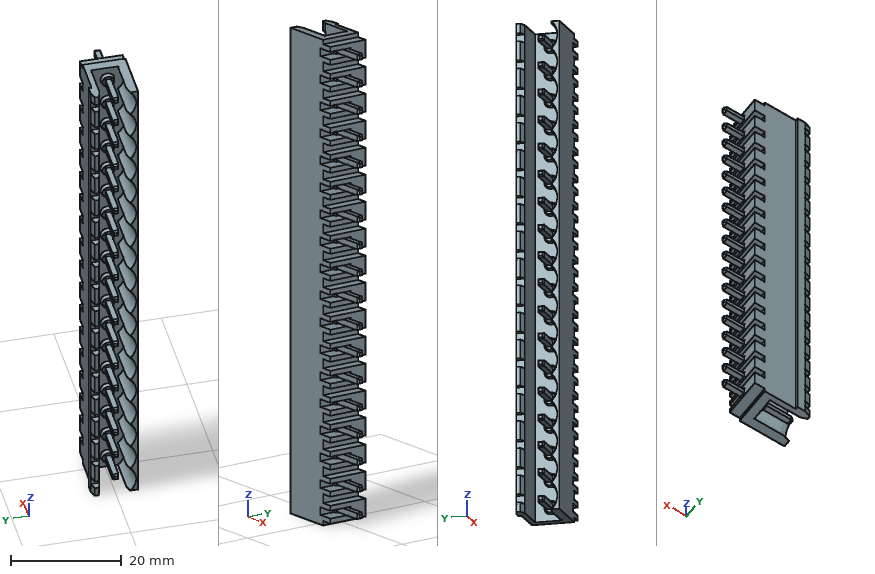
import cadquery as cq

POLE_COUNT = 18
LENGTH = 91.4
PITCH = LENGTH / POLE_COUNT
POLE_HEIGHTS = [(i + 0.5) * PITCH for i in range(POLE_COUNT)]

BODY_WIDTH = 8.0
BODY_DEPTH = 9.9
CAVITY_DEPTH = 8.0
LATCH_WALL_INNER_Y = 6.9
PIN_Y = 3.8
SCALLOP_RADIUS = 3.2
SCALLOP_MOUTH_RADIUS = 3.5
MOUTH_CHAMFER_DEPTH = 1.4

RAIL_OUTER_Y = 8.5
RAIL_DEPTH = 3.0
RAIL_CHAMFER = 0.5
RAIL_NOTCH_HEIGHT = 1.6

TOOTH_END_X = 12.1
TOOTH_HEIGHT = 3.4
SLOT_START_X = 9.05
SLOT_HEIGHT = 1.5

PIN_SIZE = 1.1
PIN_POINT_SIZE = 0.6
PIN_FRONT_X = 1.1
PIN_REAR_X = 16.2
PIN_POINT_LENGTH = 0.5
SHOULDER_END_X = 9.7
COLLAR_HEIGHT = 0.8
COLLAR_TIP_RADIUS = 1.1
COLLAR_BASE_RADIUS = 1.3


def block(x_range, y_range, z_range):
    """Box between the given limits on each axis."""
    size = [high - low for low, high in (x_range, y_range, z_range)]
    corner = (x_range[0], y_range[0], z_range[0])
    return cq.Workplane("XY").box(*size, centered=False).translate(corner)


def about_zero(size):
    """Limits of a size centred on zero."""
    return -size / 2, size / 2


def pin_axis_plane(x):
    """Plane across a pin axis, facing +X."""
    return cq.Workplane("YZ", origin=(x, PIN_Y, 0))


def frustum(x_start, x_end, radius_start, radius_end):
    """Cone section along a pin axis."""
    return (
        pin_axis_plane(x_start)
        .circle(radius_start)
        .workplane(offset=x_end - x_start)
        .circle(radius_end)
        .loft(ruled=True)
    )


def make_channel():
    """Solid bar with the latch rail, opened by a straight-sided cavity."""
    rail_tip_outer_y = RAIL_OUTER_Y - RAIL_CHAMFER
    rail_tip_inner_y = LATCH_WALL_INNER_Y + RAIL_CHAMFER
    profile = [
        (0, 0),
        (BODY_DEPTH, 0),
        (BODY_DEPTH, BODY_WIDTH),
        (RAIL_DEPTH, BODY_WIDTH),
        (RAIL_DEPTH, RAIL_OUTER_Y),
        (MOUTH_CHAMFER_DEPTH, RAIL_OUTER_Y),
        (0, rail_tip_outer_y),
        (0, rail_tip_inner_y),
        (MOUTH_CHAMFER_DEPTH, LATCH_WALL_INNER_Y),
        (CAVITY_DEPTH, LATCH_WALL_INNER_Y),
        (CAVITY_DEPTH, PIN_Y),
        (0, PIN_Y),
    ]
    return cq.Workplane("XY").polyline(profile).close().extrude(LENGTH)


def make_scallop():
    """Round hollow in the -Y wall around one pin, flared at the mouth."""
    bore = pin_axis_plane(0).circle(SCALLOP_RADIUS).extrude(CAVITY_DEPTH)
    flare = frustum(0, MOUTH_CHAMFER_DEPTH, SCALLOP_MOUTH_RADIUS, SCALLOP_RADIUS)
    wall_side = block((0, CAVITY_DEPTH), (0, PIN_Y), about_zero(2 * SCALLOP_MOUTH_RADIUS))
    return bore.union(flare).intersect(wall_side)


def make_rail_notch():
    return block(
        (0, MOUTH_CHAMFER_DEPTH),
        (LATCH_WALL_INNER_Y, RAIL_OUTER_Y),
        about_zero(RAIL_NOTCH_HEIGHT),
    )


def make_tooth():
    return block((BODY_DEPTH, TOOTH_END_X), (0, BODY_WIDTH), about_zero(TOOTH_HEIGHT))


def make_slot():
    """Slot reaching from the -Y face to the far side of the pin shoulder."""
    return block(
        (SLOT_START_X, TOOTH_END_X),
        (0, PIN_Y + SLOT_HEIGHT / 2),
        about_zero(SLOT_HEIGHT),
    )


def make_pin_point(x_base, x_tip):
    """Tapered end of a pin."""
    return (
        pin_axis_plane(x_base)
        .rect(PIN_SIZE, PIN_SIZE)
        .workplane(offset=x_tip - x_base)
        .rect(PIN_POINT_SIZE, PIN_POINT_SIZE)
        .loft(ruled=True)
    )


def make_pin():
    """Pointed square pin with a conical collar and a shoulder at the slot end."""
    shaft_start = PIN_FRONT_X + PIN_POINT_LENGTH
    shaft_end = PIN_REAR_X - PIN_POINT_LENGTH
    shaft = pin_axis_plane(shaft_start).rect(PIN_SIZE, PIN_SIZE).extrude(shaft_end - shaft_start)
    shoulder_length = SHOULDER_END_X - SLOT_START_X
    shoulder = pin_axis_plane(SLOT_START_X).rect(SLOT_HEIGHT, SLOT_HEIGHT).extrude(shoulder_length)
    collar_start = CAVITY_DEPTH - COLLAR_HEIGHT
    collar = frustum(collar_start, CAVITY_DEPTH, COLLAR_TIP_RADIUS, COLLAR_BASE_RADIUS)
    return (
        shaft.union(make_pin_point(shaft_start, PIN_FRONT_X))
        .union(make_pin_point(shaft_end, PIN_REAR_X))
        .union(shoulder)
        .union(collar)
    )


def copies(feature):
    """Copies of a feature drawn about z = 0, one at every pole."""
    return [feature.val().translate(cq.Vector(0, 0, z)) for z in POLE_HEIGHTS]


housing = make_channel().val().fuse(*copies(make_tooth()))
housing = housing.cut(*copies(make_scallop()))
housing = housing.cut(*copies(make_rail_notch()), *copies(make_slot()))
connector = housing.fuse(*copies(make_pin())).clean()
result = cq.Workplane(connector.Solids()[0])